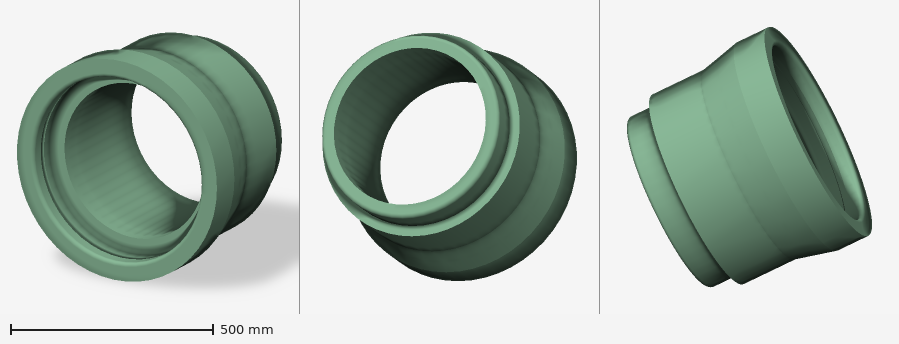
import cadquery as cq

collar_radius = 286.0
body_radius = 260.0
spigot_radius = 234.0
bore_radius = 200.0

total_length = 415.0
collar_length = 86.0
taper_length = 105.0
spigot_length = 79.5
spigot_rounding = 10.0

socket_radius = 238.5
socket_depth = 86.5
socket_rounding = 10.0
groove_width = 15.5
groove_depth = 6.0

mouth_y = -total_length / 2
end_y = total_length / 2
collar_end_y = mouth_y + collar_length
taper_end_y = collar_end_y + taper_length
shoulder_y = end_y - spigot_length
socket_floor_y = mouth_y + socket_depth
groove_start_y = mouth_y + (socket_depth - groove_width) / 2


def cylinder(radius, start_y, length):
    """Solid cylinder on the Y axis, growing toward +Y."""
    return cq.Workplane(cq.Solid.makeCylinder(radius, length, cq.Vector(0, start_y, 0), cq.Vector(0, 1, 0)))


def make_outside():
    """Collar, taper, body and spigot with a rounded end."""
    profile = (
        cq.Workplane("XY")
        .moveTo(0, mouth_y)
        .lineTo(collar_radius, mouth_y)
        .lineTo(collar_radius, collar_end_y)
        .lineTo(body_radius, taper_end_y)
        .lineTo(body_radius, shoulder_y)
        .lineTo(spigot_radius, shoulder_y)
        .lineTo(spigot_radius, end_y)
        .lineTo(0, end_y)
        .close()
    )
    outside = profile.revolve(360, (0, 0, 0), (0, 1, 0))
    return outside.faces(">Y").edges().fillet(spigot_rounding)


def make_socket_cut():
    """Socket void: flared rounded mouth and rounded floor corner."""
    straight_start_y = mouth_y + socket_rounding
    straight_end_y = socket_floor_y - socket_rounding
    return (
        cq.Workplane("XY")
        .moveTo(0, mouth_y)
        .lineTo(socket_radius + socket_rounding, mouth_y)
        .radiusArc((socket_radius, straight_start_y), socket_rounding)
        .lineTo(socket_radius, straight_end_y)
        .radiusArc((socket_radius - socket_rounding, socket_floor_y), -socket_rounding)
        .lineTo(0, socket_floor_y)
        .close()
        .revolve(360, (0, 0, 0), (0, 1, 0))
    )


bore = cylinder(bore_radius, mouth_y, total_length)
seal_groove = cylinder(socket_radius + groove_depth, groove_start_y, groove_width)

result = make_outside().cut(bore).cut(make_socket_cut()).cut(seal_groove)